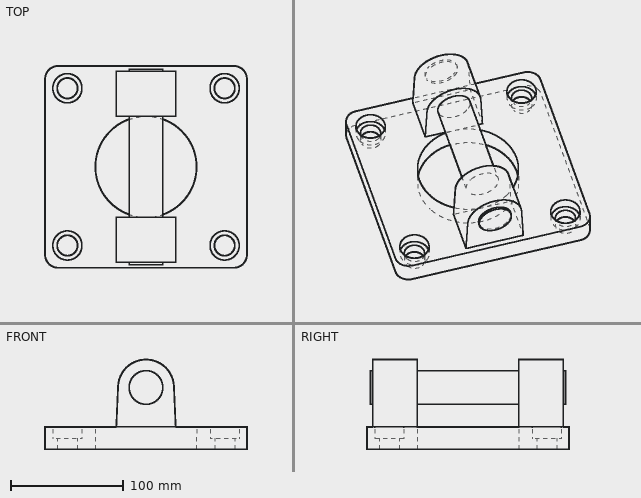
import cadquery as cq
import math

plate_side = 180.0
plate_thickness = 20.0
plate_corner_radius = 12.0
center_opening_diameter = 90.0

hole_spacing = 140.0
hole_diameter = 18.0
counterbore_diameter = 26.0
counterbore_depth = 10.0

overall_height = 80.0
lug_radius = 25.0
lug_draft_angle = math.radians(2.5)
lug_length = 40.0
lug_gap = 90.0

pin_diameter = 30.0
pin_overhang = 2.0
pin_axis_height = overall_height - lug_radius
pin_length = lug_gap + 2 * (lug_length + pin_overhang)


def make_plate():
    """Rounded square plate with its central opening and four counterbored holes."""
    plate = (
        cq.Workplane("XY")
        .rect(plate_side, plate_side)
        .extrude(plate_thickness)
        .edges("|Z")
        .fillet(plate_corner_radius)
    )
    plate = plate.faces(">Z").workplane().hole(center_opening_diameter)
    return (
        plate.faces(">Z")
        .workplane()
        .rect(hole_spacing, hole_spacing, forConstruction=True)
        .vertices()
        .cboreHole(hole_diameter, counterbore_diameter, counterbore_depth)
    )


def make_lug(start_y):
    """Lug with a round top and drafted flanks tangent to it, running in +Y from start_y."""
    tangent_x = lug_radius * math.cos(lug_draft_angle)
    tangent_z = pin_axis_height + lug_radius * math.sin(lug_draft_angle)
    base_x = tangent_x + (tangent_z - plate_thickness) * math.tan(lug_draft_angle)
    return (
        cq.Workplane("XZ", origin=(0, start_y, 0))
        .moveTo(-base_x, plate_thickness)
        .lineTo(base_x, plate_thickness)
        .lineTo(tangent_x, tangent_z)
        .threePointArc((0, overall_height), (-tangent_x, tangent_z))
        .close()
        .extrude(-lug_length)
    )


def make_pin():
    """Round pin along Y through both lugs, standing slightly proud of each."""
    return (
        cq.Workplane("XZ", origin=(0, 0, pin_axis_height))
        .circle(pin_diameter / 2)
        .extrude(pin_length / 2, both=True)
    )


result = make_plate()
for lug_start_y in (-lug_gap / 2 - lug_length, lug_gap / 2):
    result = result.union(make_lug(lug_start_y))
result = result.union(make_pin())